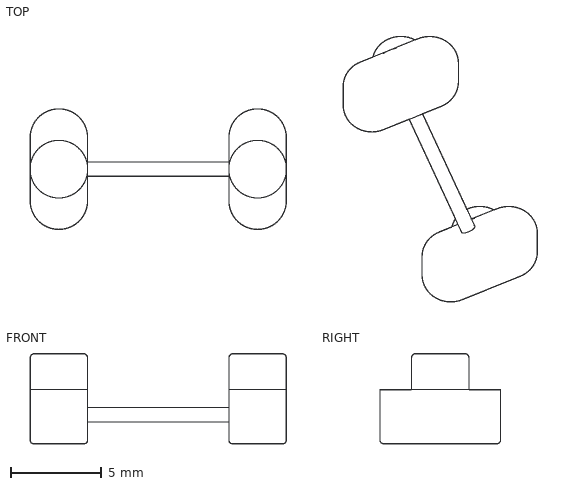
import cadquery as cq

total_length = 14.21
foot_width = 3.2
foot_length = 6.7
foot_height = 3.0
total_height = 5.0
knob_diameter = foot_width
knob_top_radius = 0.25
foot_bottom_radius = 0.2
rod_diameter = 0.81
rod_height = 1.6

foot_offset = (total_length - foot_width) / 2
knob_height = total_height - foot_height


def make_foot(x):
    """Rounded-end foot with a round knob centred on its top face."""
    base = (
        cq.Workplane("XY")
        .center(x, 0)
        .slot2D(foot_length, foot_width, 90)
        .extrude(foot_height)
        .faces("<Z")
        .edges()
        .fillet(foot_bottom_radius)
    )
    knob = (
        cq.Workplane("XY", origin=(x, 0, foot_height))
        .circle(knob_diameter / 2)
        .extrude(knob_height)
        .faces(">Z")
        .edges()
        .fillet(knob_top_radius)
    )
    return base.union(knob)


rod = (
    cq.Workplane("YZ", origin=(-foot_offset, 0, rod_height))
    .circle(rod_diameter / 2)
    .extrude(2 * foot_offset)
)

result = rod
for side in (-1, 1):
    result = result.union(make_foot(side * foot_offset))